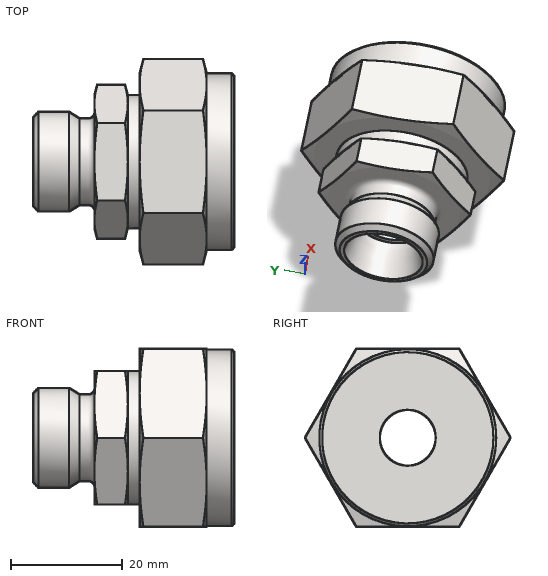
import cadquery as cq
import math


overall_length = 36.15
hex_body_width = 6.0
nut_width = 12.0
hex_body_start = 11.0
collar_length = 2.15
hex_body_end = hex_body_start + hex_body_width
nut_start = hex_body_end + collar_length
nut_end = nut_start + nut_width

nut_across_corners = 36.95
nut_across_flats = nut_across_corners * math.cos(math.pi / 6)
body_across_flats = 0.75 * nut_across_flats
hex_chamfer_angle = 15.0

spigot_radius = 8.98
spigot_chamfer = 1.0
spigot_length = 6.45
neck_radius = 7.85
neck_start = 8.3
neck_fillet = 1.0

collar_radius = body_across_flats / 2
sleeve_radius = 15.9
sleeve_chamfer = 0.5

mouth_radius = 7.15
socket_radius = 6.0
mouth_half_angle = 12.0
socket_depth = 7.0
hole_radius = 5.0
mouth_depth = (mouth_radius - socket_radius) / math.tan(math.radians(mouth_half_angle))


def revolve_about_x(profile):
    return profile.close().revolve(360, (0, 0, 0), (1, 0, 0))


def chamfered_hexagon(start, width, across_flats):
    """Hexagonal prism whose corners are turned down conically at both ends."""
    flat_radius = across_flats / 2
    across_corners = across_flats / math.cos(math.pi / 6)
    corner_radius = across_corners / 2
    corner_chamfer = (corner_radius - flat_radius) * math.tan(math.radians(hex_chamfer_angle))
    prism = cq.Workplane("YZ", origin=(start, 0, 0)).polygon(6, across_corners).extrude(width)
    end = start + width
    envelope = revolve_about_x(
        cq.Workplane("XY")
        .moveTo(start, 0)
        .lineTo(start, flat_radius)
        .lineTo(start + corner_chamfer, corner_radius)
        .lineTo(end - corner_chamfer, corner_radius)
        .lineTo(end, flat_radius)
        .lineTo(end, 0)
    )
    return prism.intersect(envelope)


def turned_body():
    """Spigot, neck, collar and rear sleeve as one revolved profile."""
    fillet_start = hex_body_start - neck_fillet
    return revolve_about_x(
        cq.Workplane("XY")
        .moveTo(0, 0)
        .lineTo(0, spigot_radius - spigot_chamfer)
        .lineTo(spigot_chamfer, spigot_radius)
        .lineTo(spigot_length, spigot_radius)
        .lineTo(neck_start, neck_radius)
        .lineTo(fillet_start, neck_radius)
        .radiusArc((hex_body_start, neck_radius + neck_fillet), -neck_fillet)
        .lineTo(hex_body_start, collar_radius)
        .lineTo(nut_end, collar_radius)
        .lineTo(nut_end, sleeve_radius)
        .lineTo(overall_length - sleeve_chamfer, sleeve_radius)
        .lineTo(overall_length, sleeve_radius - sleeve_chamfer)
        .lineTo(overall_length, 0)
    )


def bore():
    return revolve_about_x(
        cq.Workplane("XY")
        .moveTo(0, 0)
        .lineTo(0, mouth_radius)
        .lineTo(mouth_depth, socket_radius)
        .lineTo(socket_depth, socket_radius)
        .lineTo(socket_depth, hole_radius)
        .lineTo(overall_length, hole_radius)
        .lineTo(overall_length, 0)
    )


hex_body = chamfered_hexagon(hex_body_start, hex_body_width, body_across_flats)
nut = chamfered_hexagon(nut_start, nut_width, nut_across_flats)
result = turned_body().union(hex_body).union(nut).cut(bore())